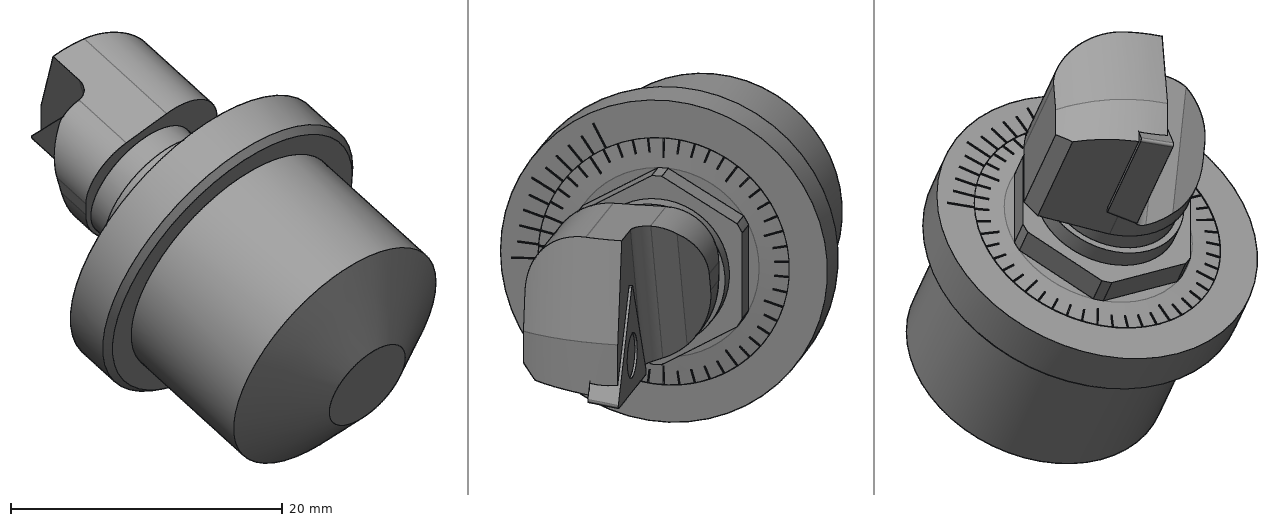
import cadquery as cq
import math

overall_length = 36.65

flange_front_x = 17.6
flange_back_x = 21.7
flange_diameter = 24.75
flange_chamfer = 0.5
barrel_diameter = 20.0
barrel_end_x = 33.05
housing_tip_diameter = 7.5

dial_diameter = 19.0
dial_rim_x = 17.52
dial_face_x = 17.35
hex_front_x = 15.17
hex_across_flats = 12.95
hex_corner_diameter = 14.5
hex_half_sector = 30.0

collar_diameter = 11.0
collar_front_x = 13.7
neck_diameter = 10.0
head_back_x = 11.6

head_top_z = 6.0
head_left_y = 7.48
head_right_y = -5.5
top_left_radius = 5.0
top_right_radius = 4.0
bottom_right_radius = 6.38
bottom_right_center_z = 0.62
bottom_chamfer = 1.05
head_left_bottom_z = -4.3

nose_radius = 12.1
nose_x = 0.8
nose_tilt = 10.0
nose_bend_z = -1.6

seat_y = -0.3
pocket_top_x = 5.05
pocket_tilt = 19.5
pocket_fillet = 1.25
pocket_wall_y = -3.5
pocket_flare = 16.0
pocket_overrun = 1.1

insert_face_y = -0.5
insert_thickness = 2.4
insert_center_z = -3.52
insert_inradius = 2.8
insert_corner_radius = 0.2
insert_clearance = 5.0
insert_recess_diameter = 3.37
insert_recess_depth = 0.2

mark_width = 0.09
mark_depth = 0.055
dial_mark_count = 50
dial_long_every = 5
dial_short_length = 1.05
dial_long_length = 1.45
vernier_interval_count = 10
vernier_center_angle = 60.0
vernier_short_end_radius = 11.1
vernier_long_end_radius = 11.55

dial_radius = dial_diameter / 2
hex_corner_radius = hex_corner_diameter / 2
dial_cone_angle = math.degrees(math.atan2(dial_rim_x - dial_face_x, dial_radius - hex_corner_radius))
dial_pitch = 360.0 / dial_mark_count
vernier_pitch = dial_pitch * (vernier_interval_count - 1) / vernier_interval_count
clear_span = 36.65


def disc(diameter, start_x, end_x):
    """A cylinder on the tool axis."""
    return cq.Workplane("YZ", origin=(start_x, 0, 0)).circle(diameter / 2).extrude(end_x - start_x)


def mark_groove(face_x, outer_radius, length, slope, angle):
    """A radial groove whose outer end lies at face_x; slope raises its inner end towards -X."""
    groove = cq.Workplane("XY").box(2 * mark_depth, mark_width, length)
    groove = groove.translate((0, 0, -length / 2))
    groove = groove.rotate((0, 0, 0), (0, 1, 0), slope)
    groove = groove.translate((face_x, 0, outer_radius))
    return groove.rotate((0, 0, 0), (1, 0, 0), -angle)


def cut_grooves(body, grooves):
    """The body with all the grooves removed in one cut."""
    return cq.Workplane(body.val().cut(*[groove.val() for groove in grooves]))


def vernier_grooves():
    grooves = []
    half_span = vernier_interval_count // 2
    for step in range(-half_span, half_span + 1):
        is_long = step % half_span == 0
        end_radius = vernier_long_end_radius if is_long else vernier_short_end_radius
        angle = vernier_center_angle + step * vernier_pitch
        grooves.append(mark_groove(flange_front_x, end_radius, end_radius - dial_radius, 0, angle))
    return grooves


def dial_grooves():
    grooves = []
    for step in range(dial_mark_count):
        length = dial_long_length if step % dial_long_every == 0 else dial_short_length
        angle = step * dial_pitch
        grooves.append(mark_groove(dial_rim_x, dial_radius, length, dial_cone_angle, angle))
    return grooves


def make_housing():
    """Flanged barrel with a conical tail, turned about X, with vernier marks on the flange."""
    flange_radius = flange_diameter / 2
    profile = (
        cq.Workplane("XY")
        .moveTo(flange_front_x, 0)
        .lineTo(flange_front_x, flange_radius)
        .lineTo(flange_back_x - flange_chamfer, flange_radius)
        .lineTo(flange_back_x, flange_radius - flange_chamfer)
        .lineTo(flange_back_x, barrel_diameter / 2)
        .lineTo(barrel_end_x, barrel_diameter / 2)
        .lineTo(overall_length, housing_tip_diameter / 2)
        .lineTo(overall_length, 0)
        .close()
    )
    housing = profile.revolve(360, (0, 0, 0), (1, 0, 0))
    return cut_grooves(housing, vernier_grooves())


def make_dial():
    """Shallow cone carrying the graduation, seated on the flange."""
    profile = (
        cq.Workplane("XY")
        .moveTo(flange_front_x, 0)
        .lineTo(flange_front_x, dial_radius)
        .lineTo(dial_rim_x, dial_radius)
        .lineTo(dial_face_x, hex_corner_radius)
        .lineTo(dial_face_x, 0)
        .close()
    )
    dial = profile.revolve(360, (0, 0, 0), (1, 0, 0))
    return cut_grooves(dial, dial_grooves())


def make_hexagon():
    """Hexagon with corners up and down, rounded off to the corner diameter."""
    sharp_diameter = hex_across_flats / math.cos(math.radians(hex_half_sector))
    hexagon = (
        cq.Workplane("YZ", origin=(hex_front_x, 0, 0))
        .polygon(6, sharp_diameter)
        .extrude(dial_face_x - hex_front_x)
        .rotate((0, 0, 0), (1, 0, 0), hex_half_sector)
    )
    return hexagon.intersect(disc(hex_corner_diameter, hex_front_x, dial_face_x))


def head_blank():
    """Prism of the head section: unequal round corners, and one chamfered corner."""
    bottom_y = head_right_y + bottom_right_radius
    bottom_z = bottom_right_center_z - bottom_right_radius
    diagonal = math.sqrt(0.5)
    top_left = (head_left_y - top_left_radius, head_top_z - top_left_radius)
    top_right = (head_right_y + top_right_radius, head_top_z - top_right_radius)

    def corner_middle(center, radius, y_side, z_side):
        return (center[0] + y_side * radius * diagonal, center[1] + z_side * radius * diagonal)

    return (
        cq.Workplane("YZ")
        .moveTo(top_left[0], head_top_z)
        .threePointArc(corner_middle(top_left, top_left_radius, 1, 1), (head_left_y, top_left[1]))
        .lineTo(head_left_y, head_left_bottom_z)
        .lineTo(head_left_y - bottom_chamfer, head_left_bottom_z - bottom_chamfer)
        .lineTo(bottom_y, bottom_z)
        .threePointArc(
            corner_middle((bottom_y, bottom_right_center_z), bottom_right_radius, -1, -1),
            (head_right_y, bottom_right_center_z),
        )
        .lineTo(head_right_y, top_right[1])
        .threePointArc(corner_middle(top_right, top_right_radius, -1, 1), (top_right[0], head_top_z))
        .close()
        .extrude(head_back_x)
    )


def nose_envelopes():
    """Two equal cylinders, one upright and one leaning back, that meet at the nose bend."""
    upright = (
        cq.Workplane("XY", origin=(nose_x + nose_radius, seat_y, nose_bend_z))
        .circle(nose_radius)
        .extrude(clear_span / 2, both=True)
    )
    bend = (nose_x, 0, nose_bend_z)
    bend_axis_end = (nose_x, 1, nose_bend_z)
    return upright, upright.rotate(bend, bend_axis_end, nose_tilt)


def chip_pocket():
    """Slanted pocket open towards -Y: seat face, root fillet, upright wall and flared outer wall."""
    tilt = math.radians(pocket_tilt)
    across = cq.Vector(math.cos(tilt), 0, math.sin(tilt))
    along = cq.Vector(-math.sin(tilt), 0, math.cos(tilt))
    plane = cq.Plane(origin=(pocket_top_x, seat_y, head_top_z), xDir=across, normal=along)
    wall_end = pocket_wall_y - seat_y
    flare_depth = head_right_y - pocket_wall_y - pocket_overrun
    flare_offset = -flare_depth * math.tan(math.radians(pocket_flare))
    arc_offset = pocket_fillet * math.sqrt(0.5)
    return (
        cq.Workplane(plane)
        .moveTo(-clear_span / 2, 0)
        .lineTo(0, 0)
        .threePointArc((arc_offset, arc_offset - pocket_fillet), (pocket_fillet, -pocket_fillet))
        .lineTo(pocket_fillet, wall_end)
        .lineTo(pocket_fillet + flare_offset, wall_end + flare_depth)
        .lineTo(-clear_span / 2, wall_end + flare_depth)
        .close()
        .extrude(clear_span / 2, both=True)
    )


def insert_blank():
    """Equilateral triangle, apex up, with rounded corners and sides tapering away from the face."""
    half_side = insert_inradius * math.sqrt(3)
    center_x = half_side - insert_corner_radius * (math.sqrt(3) - 1)
    base_z = -insert_inradius
    return (
        cq.Workplane("XZ", origin=(center_x, insert_face_y, insert_center_z))
        .polyline([(-half_side, base_z), (half_side, base_z), (0, 2 * insert_inradius)])
        .close()
        .extrude(-insert_thickness, taper=insert_clearance)
        .edges("not #Y")
        .fillet(insert_corner_radius)
    )


def make_insert():
    """Triangular insert with a shallow round recess in the middle of its face."""
    insert = insert_blank()
    face = insert.faces("<Y").workplane(origin=insert.faces("<Y").val().Center())
    return face.circle(insert_recess_diameter / 2).cutBlind(-insert_recess_depth)


def make_head():
    """Cutting head with its nose, chip pocket and insert seat."""
    head = head_blank()
    for envelope in nose_envelopes():
        head = head.intersect(envelope)
    return head.cut(chip_pocket()).cut(insert_blank())


def make_cartridge():
    """Head, stepped neck, hexagon and dial in one piece."""
    neck = disc(neck_diameter, head_back_x, collar_front_x)
    collar = disc(collar_diameter, collar_front_x, hex_front_x)
    return make_head().union(neck).union(collar).union(make_hexagon()).union(make_dial())


housing = make_housing()
cartridge = make_cartridge()
insert = make_insert()

result = cq.Compound.makeCompound([housing.val(), cartridge.val(), insert.val()])